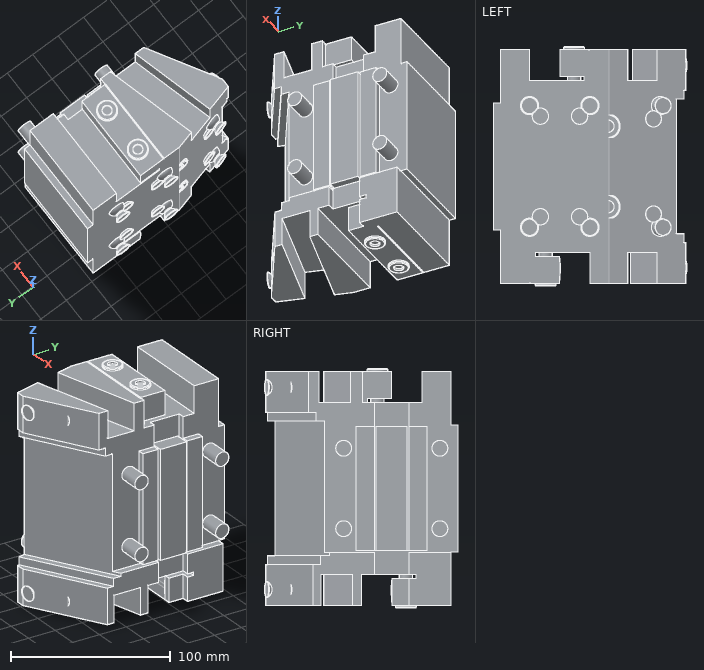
import cadquery as cq
import math

BODY_DEPTH = 65.3
HALF_HEIGHT = 73.4
TOTAL_HALF_HEIGHT = 75.0
RAIL_Y = 68.0
WAIST_Y = 72.3
WAIST_HALF_HEIGHT = 39.9
FACE_ANGLE = 15
SLANT_ANGLE = 30
NOSE_Y = -48.3
NOSE_END_X = 18.9

SLANT_STEPS = ((47.7, 1.2), (42.2, 5.9))

SLOT_FLOOR = 54.0
ANGLED_SLOT_NEAR = 12.3
ANGLED_SLOT_FAR = 31.2
TOP_SLOT = (30.6, 49.7)
TOP_CLAMP = (12.3, 30.6)
TOP_RELIEF_END = 15.6
BOTTOM_SLOT = (11.9, 30.9)
BOTTOM_CLAMP = (30.9, 49.5)
BOTTOM_RELIEF_END = 45.9
CLAMP_GAP = 2.3
CLAMP_LENGTH = 60.8
SEAM_SIZE = 0.6
CROWN_Z = -63.5
CROWN_HEIGHT = 0.6
CROWN_WIDTH = 2.7

CLAMP_SCREW_X = (14.4, 46.2)
TOP_SCREW_Y = 21.8
BOTTOM_SCREW_Y = 39.6
CLAMP_SCREW_RADIUS = 6.6
CLAMP_SHANK_RADIUS = 4.2
CLAMP_SOCKET_RADIUS = 3.2
SOCKET_DEPTH = 1.5
RIM_CHAMFER = 0.6

FOOT_DEPTH = 70.4
FOOT_TOP = -40.0
PAD_DEPTH = 69.8
PAD_HALF_WIDTH = 22.2
PAD_HALF_HEIGHT = 38.9
KEY_DEPTH = 70.7
KEY_HALF_WIDTH = 9.8
KEYWAY_HALF_WIDTH = 10.8
KEY_Y = 30.6

PIN_Y = (0.6, 60.9)
PIN_Z = 25.2
PIN_RADIUS = 5.0
PIN_END = 80.3
COLLAR_RADIUS = 7.7
COLLAR_BORE_RADIUS = 3.9
COLLAR_LENGTH = 3.0

SCREW_HEAD_RADIUS = 5.1
SCREW_RIM = 0.5
SCREW_NECK_RADIUS = 2.7
SCREW_TAPER = 2.7
SCREW_LENGTH = 9.8
DOME_RADIUS = 5.7
DOME_HEIGHT = 3.5
DOME_MID_HEIGHT = 2.3
DOME_MID_RADIUS = 4.7
DOME_ROOT = 1.5
RAISED = 7.4
LOW = 2.1
RAISED_Z = 38.1
FLAT_RAISED_Y = (11.9, 49.7)
FLAT_LOW_Y = (18.3, 42.9)
FLAT_LOW_Z = 31.5
ANGLED_RAISED = 33.3
ANGLED_LOW = 28.5
ANGLED_LOW_Z = 29.9
SLANT_SCREWS = ((23.5, -47.7), (42.6, -33.5))
SLANT_SCREW_Z = 63.3

ANGLE_SIN = math.sin(math.radians(FACE_ANGLE))
ANGLE_COS = math.cos(math.radians(FACE_ANGLE))
SLANT_SLOPE = math.tan(math.radians(SLANT_ANGLE))
OVERCUT = 7.5


def box(x_range, y_range, z_range):
    """Box spanning the given ranges."""
    size = [high - low for low, high in (x_range, y_range, z_range)]
    corner = (x_range[0], y_range[0], z_range[0])
    return cq.Workplane("XY").box(*size, centered=False).translate(corner)


def prism(points, bottom, top):
    """Vertical prism over an XY outline."""
    return cq.Workplane("XY").workplane(offset=bottom).polyline(points).close().extrude(top - bottom)


def cylinder(center, direction, radius, length):
    """Cylinder starting at a point and running along a direction."""
    start = cq.Vector(*center)
    axis = cq.Vector(*direction)
    return cq.Workplane(obj=cq.Solid.makeCylinder(radius, length, start, axis))


def angled_face_point(distance):
    """XY point on the angled face at a distance from its upper edge."""
    return distance * ANGLE_SIN, -distance * ANGLE_COS


def slant_y(x):
    """Y of the oblique side at a given X."""
    return NOSE_Y + max(x - NOSE_END_X, 0) * SLANT_SLOPE


def make_body():
    nose_x = -NOSE_Y * ANGLE_SIN / ANGLE_COS
    outline = [
        (0, RAIL_Y),
        (0, 0),
        (nose_x, NOSE_Y),
        (NOSE_END_X, NOSE_Y),
        (BODY_DEPTH, slant_y(BODY_DEPTH)),
        (BODY_DEPTH, RAIL_Y),
    ]
    body = prism(outline, -HALF_HEIGHT, HALF_HEIGHT)
    waist = box((0, BODY_DEPTH), (0, WAIST_Y), (-WAIST_HALF_HEIGHT, WAIST_HALF_HEIGHT))
    foot_outline = [
        (BODY_DEPTH, RAIL_Y),
        (FOOT_DEPTH, RAIL_Y),
        (FOOT_DEPTH, slant_y(FOOT_DEPTH)),
        (BODY_DEPTH, slant_y(BODY_DEPTH)),
    ]
    foot = prism(foot_outline, -HALF_HEIGHT, FOOT_TOP)
    return body.union(waist).union(foot)


def slant_relief(half_height, tip_shift):
    """Cutter that sets the oblique side back, parallel to itself."""
    tip_y = NOSE_Y + tip_shift
    tip_x = -tip_y * ANGLE_SIN / ANGLE_COS
    end_x = FOOT_DEPTH + OVERCUT
    end_y = tip_y + (end_x - tip_x) * SLANT_SLOPE
    outline = [
        (tip_x - OVERCUT, tip_y - OVERCUT * SLANT_SLOPE),
        (end_x, end_y),
        (end_x, NOSE_Y - OVERCUT),
        (tip_x - OVERCUT, NOSE_Y - OVERCUT),
    ]
    return prism(outline, -half_height, half_height)


def jaw_slots():
    """Cutters for the two angled slots and the two straight slots."""
    width = ANGLED_SLOT_FAR - ANGLED_SLOT_NEAR
    length = 2 * FOOT_DEPTH
    cap = HALF_HEIGHT - SLOT_FLOOR + OVERCUT
    angled = (
        cq.Workplane("XY")
        .box(length, width, cap, centered=(True, False, False))
        .translate((0, -ANGLED_SLOT_FAR, SLOT_FLOOR))
        .rotate((0, 0, 0), (0, 0, 1), FACE_ANGLE)
    )
    across = (-OVERCUT, FOOT_DEPTH + OVERCUT)
    above = (SLOT_FLOOR, SLOT_FLOOR + cap)
    below = (-SLOT_FLOOR - cap, -SLOT_FLOOR)
    top_relief = box(across, (TOP_RELIEF_END, TOP_SLOT[0]), (SLOT_FLOOR, SLOT_FLOOR + CLAMP_GAP))
    bottom_relief = box(
        across, (BOTTOM_SLOT[1], BOTTOM_RELIEF_END), (-SLOT_FLOOR - CLAMP_GAP, -SLOT_FLOOR)
    )
    clamp_end = box((CLAMP_LENGTH, across[1]), TOP_CLAMP, above)
    return [
        angled,
        angled.mirror("XY"),
        box(across, TOP_SLOT, above),
        box(across, BOTTOM_SLOT, below),
        top_relief,
        bottom_relief,
        clamp_end,
    ]


def clamp_seam(y, z):
    """Narrow groove where a clamp meets the fixed jaw."""
    half = SEAM_SIZE / 2
    return box((-OVERCUT, CLAMP_LENGTH), (y - half, y + half), (z - half, z + half))


def clamp_crown():
    """Slightly crowned slot side of the lower clamp, with a narrow flat crest."""
    base_y = BOTTOM_CLAMP[0]
    crest_y = base_y - CROWN_HEIGHT
    profile = [
        (base_y, -HALF_HEIGHT),
        (crest_y, CROWN_Z - CROWN_WIDTH / 2),
        (crest_y, CROWN_Z + CROWN_WIDTH / 2),
        (base_y, -SLOT_FLOOR - CLAMP_GAP),
    ]
    return cq.Workplane("YZ").polyline(profile).close().extrude(CLAMP_LENGTH)


def clamp_screw(x, y, sign):
    """Round-headed clamp screw; sign is +1 for the top and -1 for the bottom."""
    inner = SLOT_FLOOR
    shank = cylinder((x, y, inner), (0, 0, 1), CLAMP_SHANK_RADIUS, HALF_HEIGHT - inner)
    head_height = TOTAL_HALF_HEIGHT - HALF_HEIGHT
    head = cylinder((x, y, HALF_HEIGHT), (0, 0, 1), CLAMP_SCREW_RADIUS, head_height)
    head = head.faces(">Z").chamfer(RIM_CHAMFER)
    socket_start = (x, y, TOTAL_HALF_HEIGHT - SOCKET_DEPTH)
    socket = cylinder(socket_start, (0, 0, 1), CLAMP_SOCKET_RADIUS, SOCKET_DEPTH)
    screw = shank.union(head).cut(socket)
    return screw if sign > 0 else screw.mirror("XY")


def back_pad():
    y_range = (KEY_Y - PAD_HALF_WIDTH, KEY_Y + PAD_HALF_WIDTH)
    return box((BODY_DEPTH, PAD_DEPTH), y_range, (-PAD_HALF_HEIGHT, PAD_HALF_HEIGHT))


def keyway():
    """Through channel behind the back face and the deeper pocket above the foot."""
    y_range = (KEY_Y - KEYWAY_HALF_WIDTH, KEY_Y + KEYWAY_HALF_WIDTH)
    end_x = FOOT_DEPTH + OVERCUT
    channel = box((BODY_DEPTH, end_x), y_range, (-HALF_HEIGHT, HALF_HEIGHT))
    pocket = box((CLAMP_LENGTH, end_x), y_range, (-PAD_HALF_HEIGHT, HALF_HEIGHT))
    return channel.union(pocket)


def key():
    y_range = (KEY_Y - KEY_HALF_WIDTH, KEY_Y + KEY_HALF_WIDTH)
    return box((CLAMP_LENGTH, KEY_DEPTH), y_range, (-PAD_HALF_HEIGHT, PAD_HALF_HEIGHT))


def pin(y, z):
    return cylinder((CLAMP_LENGTH, y, z), (1, 0, 0), PIN_RADIUS, PIN_END - CLAMP_LENGTH)


def bolt_collar(z):
    """Bolt ring flush with the flat face, standing proud of the angled face."""
    ring = cylinder((0, PIN_Y[0], z), (1, 0, 0), COLLAR_RADIUS, COLLAR_LENGTH)
    ring = ring.faces("<X").chamfer(RIM_CHAMFER)
    return ring.cut(cylinder((0, PIN_Y[0], z), (1, 0, 0), COLLAR_BORE_RADIUS, COLLAR_LENGTH))


def screw(height, domed):
    """Countersunk screw pointing to +X, with its head above the plane X = 0."""
    taper_start = SCREW_RIM - height
    profile = [
        (-height, 0),
        (-height, SCREW_HEAD_RADIUS),
        (taper_start, SCREW_HEAD_RADIUS),
        (taper_start + SCREW_TAPER, SCREW_NECK_RADIUS),
        (SCREW_LENGTH - height, SCREW_NECK_RADIUS),
        (SCREW_LENGTH - height, 0),
    ]
    body = cq.Workplane("XY").polyline(profile).close().revolve(360, (0, 0), (1, 0))
    if not domed:
        return body
    bulge = (-DOME_MID_HEIGHT, DOME_MID_RADIUS)
    dome = (
        cq.Workplane("XY")
        .moveTo(-DOME_HEIGHT, 0)
        .lineTo(-DOME_HEIGHT, SCREW_NECK_RADIUS)
        .threePointArc(bulge, (0, DOME_RADIUS))
        .lineTo(DOME_ROOT, DOME_RADIUS)
        .lineTo(DOME_ROOT, 0)
        .close()
        .revolve(360, (0, 0), (1, 0))
    )
    return body.union(dome)


def place_screw(shape, point, z, turn):
    """Turn a screw about Z and move it to an XY point, above and below mid height."""
    turned = shape.rotate((0, 0, 0), (0, 0, 1), turn)
    return [turned.translate((*point, z)), turned.translate((*point, -z))]


def all_screws():
    raised = screw(RAISED, True)
    low = screw(LOW, False)
    sunk = screw(0, False)
    screws = []
    for y in FLAT_RAISED_Y:
        screws += place_screw(raised, (0, y), RAISED_Z, 0)
    for y in FLAT_LOW_Y:
        screws += place_screw(low, (0, y), FLAT_LOW_Z, 0)
    screws += place_screw(raised, angled_face_point(ANGLED_RAISED), RAISED_Z, FACE_ANGLE)
    screws += place_screw(low, angled_face_point(ANGLED_LOW), ANGLED_LOW_Z, FACE_ANGLE)
    for point in SLANT_SCREWS:
        screws += place_screw(sunk, point, SLANT_SCREW_Z, 90 + FACE_ANGLE)
    return screws


result = make_body().union(back_pad())
for step_half_height, step_shift in SLANT_STEPS:
    result = result.cut(slant_relief(step_half_height, step_shift))
for cutter in jaw_slots():
    result = result.cut(cutter)
result = result.cut(clamp_seam(TOP_CLAMP[0], HALF_HEIGHT))
result = result.cut(clamp_seam(BOTTOM_CLAMP[1], -HALF_HEIGHT))
result = result.union(clamp_crown())
result = result.cut(keyway()).union(key())

for screw_x in CLAMP_SCREW_X:
    result = result.union(clamp_screw(screw_x, TOP_SCREW_Y, 1))
    result = result.union(clamp_screw(screw_x, BOTTOM_SCREW_Y, -1))
for pin_z in (-PIN_Z, PIN_Z):
    result = result.union(bolt_collar(pin_z))
    for pin_y in PIN_Y:
        result = result.union(pin(pin_y, pin_z))
for fastener in all_screws():
    result = result.union(fastener)